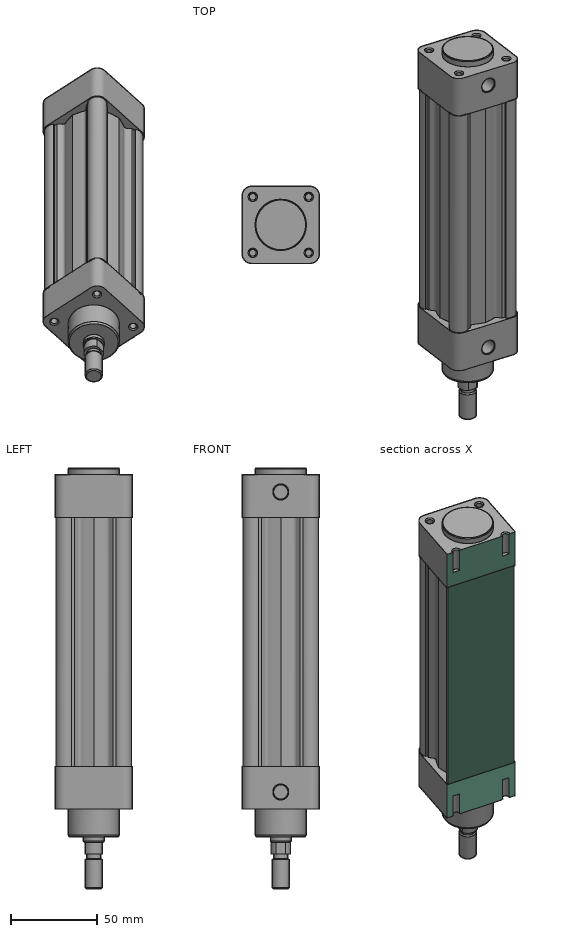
import cadquery as cq
import math


overall_length = 244.0
rod_length = 30.0
collar_length = 16.0
cap_length = 25.0
boss_length = 4.0
barrel_length = overall_length - rod_length - collar_length - 2 * cap_length - boss_length

collar_bottom = rod_length
front_cap_bottom = collar_bottom + collar_length
barrel_bottom = front_cap_bottom + cap_length
rear_cap_bottom = barrel_bottom + barrel_length

cap_width = 45.0
bolt_pitch = 32.5
bolt_offset = bolt_pitch / 2
cap_corner_radius = 5.5
spigot_radius = 15.0
collar_chamfer_height = 1.2
collar_chamfer_width = 0.7
boss_chamfer = 0.5
bolt_hole_radius = 2.0
bolt_hole_depth = 14.6
bolt_hole_chamfer = 0.7
port_radius = 4.1
port_depth = 12.2
port_chamfer = 0.5
port_inset = 10.0

barrel_width = 44.0
barrel_corner_radius = barrel_width / 2 - bolt_offset
wall_radius = 18.5
ridge_angle = math.radians(15)
wall_end_angle = math.radians(22)
groove_fillet_radius = 2.0
groove_slope = math.radians(47)
shelf_height = 19.8
shelf_end = 13.0

shoulder_radius = 6.0
shoulder_length = 3.2
shoulder_chamfer = 0.7
flatted_diameter = 11.5
flatted_radius = flatted_diameter / 2
flats_width = 10.0
flats_end = 10.0
neck_end = 12.5
neck_radius = 4.1
thread_diameter = 10.0
thread_radius = thread_diameter / 2
thread_chamfer = 0.7


def countersunk_hole(radius, depth, chamfer):
    """Blind hole cutter opening at z = 0 and running down to -depth."""
    return (
        cq.Workplane("XZ")
        .polyline(
            [(0, 0), (radius + chamfer, 0), (radius, -chamfer), (radius, -depth), (0, -depth)]
        )
        .close()
        .revolve(360, (0, 0, 0), (0, 1, 0))
    )


def make_cap(spigot_length, chamfer_height, chamfer_width):
    """End cap from z = 0 upward, with its spigot above the outer face."""
    body = (
        cq.Workplane("XY")
        .rect(cap_width, cap_width)
        .extrude(cap_length)
        .edges("|Z")
        .fillet(cap_corner_radius)
    )
    spigot = (
        cq.Workplane("XY", origin=(0, 0, cap_length))
        .circle(spigot_radius)
        .extrude(spigot_length)
        .faces(">Z")
        .chamfer(chamfer_height, chamfer_width)
    )
    cap = body.union(spigot)

    bolt_hole = countersunk_hole(bolt_hole_radius, bolt_hole_depth, bolt_hole_chamfer)
    for x in (-bolt_offset, bolt_offset):
        for y in (-bolt_offset, bolt_offset):
            cap = cap.cut(bolt_hole.translate((x, y, cap_length)))

    port = countersunk_hole(port_radius, port_depth, port_chamfer)
    port = port.rotate((0, 0, 0), (1, 0, 0), 90)
    return cap.cut(port.translate((0, -cap_width / 2, cap_length - port_inset)))


def make_front_cap():
    cap = make_cap(collar_length, collar_chamfer_height, collar_chamfer_width)
    return cap.rotate((0, 0, 0), (0, 1, 0), 180).translate((0, 0, barrel_bottom))


def make_rear_cap():
    cap = make_cap(boss_length, boss_chamfer, boss_chamfer)
    return cap.translate((0, 0, rear_cap_bottom))


def polar(radius, angle):
    """Point at an angle from the outward direction of a barrel side."""
    return (radius * math.sin(angle), radius * math.cos(angle))


def side_point(point, side, mirrored):
    """Point on a numbered barrel side, or its mirror image on the next side clockwise."""
    x, y = reversed(point) if mirrored else point
    for _ in range(side):
        x, y = y, -x
    return (x, y)


def make_barrel():
    """Profile tube with a low ridge between two grooves on each side and round corners."""
    ridge_top = (0, wall_radius / math.cos(ridge_angle))
    wall_start = polar(wall_radius, ridge_angle)
    wall_middle = polar(wall_radius, (ridge_angle + wall_end_angle) / 2)
    wall_end = polar(wall_radius, wall_end_angle)

    fillet_x, fillet_y = polar(wall_radius + groove_fillet_radius, wall_end_angle)

    def fillet_point(angle):
        dx, dy = polar(groove_fillet_radius, angle)
        return (fillet_x + dx, fillet_y - dy)

    fillet_middle = fillet_point((groove_slope - wall_end_angle) / 2)
    fillet_end = fillet_point(groove_slope)
    slope_run = (shelf_height - fillet_end[1]) / math.tan(groove_slope)
    shelf_start = (fillet_end[0] + slope_run, shelf_height)

    corner_reach = bolt_offset - shelf_end
    corner_rise = math.sqrt(barrel_corner_radius**2 - corner_reach**2)
    corner_start = (shelf_end, bolt_offset + corner_rise)
    corner_middle = (bolt_offset + barrel_corner_radius * math.sqrt(0.5),) * 2

    outline = cq.Workplane("XY", origin=(0, 0, barrel_bottom)).moveTo(*ridge_top)
    for side in range(4):

        def turned(point, mirrored=False):
            return side_point(point, side, mirrored)

        outline = (
            outline.lineTo(*turned(wall_start))
            .threePointArc(turned(wall_middle), turned(wall_end))
            .threePointArc(turned(fillet_middle), turned(fillet_end))
            .lineTo(*turned(shelf_start))
            .lineTo(*turned((shelf_end, shelf_height)))
            .lineTo(*turned(corner_start))
            .threePointArc(turned(corner_middle), turned(corner_start, True))
            .lineTo(*turned((shelf_end, shelf_height), True))
            .lineTo(*turned(shelf_start, True))
            .lineTo(*turned(fillet_end, True))
            .threePointArc(turned(fillet_middle, True), turned(wall_end, True))
            .threePointArc(turned(wall_middle, True), turned(wall_start, True))
        )
        if side < 3:
            outline = outline.lineTo(*turned(ridge_top, True))
    return outline.close().extrude(barrel_length)


def make_rod():
    """Rod end below the collar: shoulder, wrench flats, neck and threaded end."""
    shoulder = (
        cq.Workplane("XY", origin=(0, 0, collar_bottom))
        .circle(shoulder_radius)
        .extrude(-shoulder_length)
        .faces("<Z")
        .chamfer(shoulder_chamfer)
    )
    flatted = (
        cq.Workplane("XY", origin=(0, 0, collar_bottom - shoulder_length))
        .circle(flatted_radius)
        .extrude(shoulder_length - flats_end)
    )
    flats_slab = cq.Workplane("XY").box(2 * flatted_radius, flats_width, 2 * rod_length)
    flatted = flatted.intersect(flats_slab)
    neck = (
        cq.Workplane("XY", origin=(0, 0, collar_bottom - flats_end))
        .circle(neck_radius)
        .extrude(flats_end - neck_end)
    )
    thread = (
        cq.Workplane("XY")
        .circle(thread_radius)
        .extrude(collar_bottom - neck_end)
        .faces("<Z or >Z")
        .chamfer(thread_chamfer)
    )
    return shoulder.union(flatted).union(neck).union(thread)


front_cap = make_front_cap()
rear_cap = make_rear_cap()
barrel = make_barrel()
rod = make_rod()

result = cq.Compound.makeCompound([front_cap.val(), rear_cap.val(), barrel.val(), rod.val()])